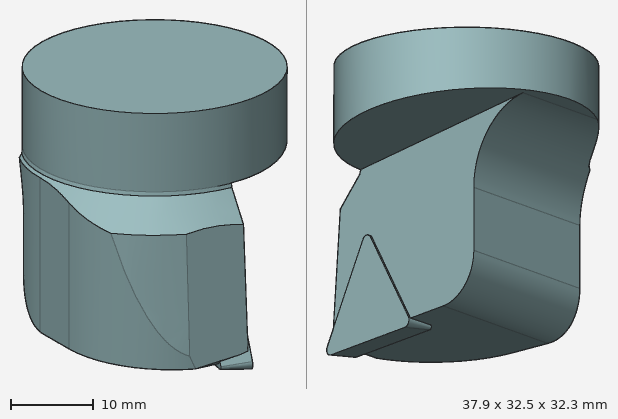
import cadquery as cq
import math

shank_diameter = 32.0
shank_radius = shank_diameter / 2
shank_left_depth = 7.27
underside_tilt = 5.0

neck_top_z = -10.1
cone_top_z = -10.6
cone_bottom_z = -14.28
cone_top_radius = 16.15
outer_lean = 5.0

leg_left_x = -4.77
leg_arc_z = -17.27
leg_bottom_z = -30.9
leg_corner_radius = 5.7
bottom_tilt = 1.0
corner_x = 19.92
corner_relief = 1.2

leg_front_y = -16.48
plan_arc_x = 6.45
plan_arc_radius = 14.4
plan_arc_sweep = 75.0
plan_right_x = 24.62

face_angle = 10.0
face_left_y = 4.35
flat_distance = 19.4

insert_side = 16.48
insert_nose_radius = 0.8
insert_thickness = 3.98
insert_relief = 7.0
insert_proud = 0.3
nose_x = 21.1
nose_z = -31.5

reach = 56.82


def sin(angle):
    return math.sin(math.radians(angle))


def cos(angle):
    return math.cos(math.radians(angle))


def tan(angle):
    return math.tan(math.radians(angle))


def underside_z(x):
    """Height of the tilted shank underside at a given X."""
    return -shank_left_depth - (x + shank_radius) * tan(underside_tilt)


def face_y(x):
    """Y of the cutting face at a given X."""
    return face_left_y - (x - leg_left_x) * tan(face_angle)


def make_shank():
    """Round shank with a tilted underside."""
    outline = [
        (-shank_radius, 0),
        (shank_radius, 0),
        (shank_radius, underside_z(shank_radius)),
        (-shank_radius, underside_z(-shank_radius)),
    ]
    slab = cq.Workplane("XZ").polyline(outline).close().extrude(shank_radius, both=True)
    round_bar = cq.Workplane("XY").circle(shank_radius).extrude(-reach)
    return round_bar.intersect(slab)


def make_leg_side():
    """Leg as seen along Y: concave arc, left wall, round corner and bottom."""
    drop = underside_z(leg_left_x) - leg_arc_z
    arc_radius = drop / (1 / cos(underside_tilt) - tan(underside_tilt))
    arc_center_x = leg_left_x - arc_radius
    arc_start_x = arc_center_x + arc_radius * sin(underside_tilt)
    mid_angle = (90 - underside_tilt) / 2
    arc_middle = (arc_center_x + arc_radius * cos(mid_angle), leg_arc_z + arc_radius * sin(mid_angle))

    corner_center_x = leg_left_x + leg_corner_radius
    corner_center_z = leg_bottom_z + leg_corner_radius
    corner_end_x = corner_center_x - leg_corner_radius * sin(bottom_tilt)
    corner_end_z = corner_center_z - leg_corner_radius * cos(bottom_tilt)
    half_sweep = (90 - bottom_tilt) / 2
    corner_middle = (
        corner_center_x - leg_corner_radius * cos(half_sweep),
        corner_center_z - leg_corner_radius * sin(half_sweep),
    )
    corner_z = corner_end_z - (corner_x - corner_end_x) * tan(bottom_tilt)

    return (
        cq.Workplane("XZ")
        .moveTo(arc_start_x, 0)
        .lineTo(arc_start_x, underside_z(arc_start_x))
        .threePointArc(arc_middle, (leg_left_x, leg_arc_z))
        .lineTo(leg_left_x, corner_center_z)
        .threePointArc(corner_middle, (corner_end_x, corner_end_z))
        .lineTo(corner_x, corner_z)
        .lineTo(corner_x + corner_relief, corner_z + corner_relief)
        .lineTo(reach, corner_z + corner_relief)
        .lineTo(reach, 0)
        .close()
        .extrude(reach, both=True)
    )


def make_leg_plan():
    """Leg as seen along Z: rounded front and yawed cutting face."""
    front_radius = -leg_front_y
    plan_arc_y = leg_front_y + plan_arc_radius
    half_sweep = plan_arc_sweep / 2
    return (
        cq.Workplane("XY")
        .moveTo(-front_radius, face_y(-front_radius))
        .lineTo(-front_radius, 0)
        .threePointArc((-front_radius * cos(45), -front_radius * sin(45)), (0, leg_front_y))
        .lineTo(plan_arc_x, leg_front_y)
        .threePointArc(
            (plan_arc_x + plan_arc_radius * sin(half_sweep), plan_arc_y - plan_arc_radius * cos(half_sweep)),
            (
                plan_arc_x + plan_arc_radius * sin(plan_arc_sweep),
                plan_arc_y - plan_arc_radius * cos(plan_arc_sweep),
            ),
        )
        .lineTo(plan_right_x, face_y(plan_right_x))
        .close()
        .extrude(-reach)
    )


def make_outer_envelope():
    """Round outer limit: neck, flare, 45 degree cone and leaning lower side."""
    cone_bottom_radius = cone_top_radius + cone_top_z - cone_bottom_z
    foot_radius = cone_bottom_radius + (cone_bottom_z + reach) * tan(outer_lean)
    return (
        cq.Workplane("XZ")
        .lineTo(shank_radius, 0)
        .lineTo(shank_radius, neck_top_z)
        .lineTo(cone_top_radius, cone_top_z)
        .lineTo(cone_bottom_radius, cone_bottom_z)
        .lineTo(foot_radius, -reach)
        .lineTo(0, -reach)
        .close()
        .revolve(360, (0, 0), (0, 1))
    )


def make_outer_flat():
    """Half-space inside the leaning flat, which is square to the cutting face."""
    top_distance = flat_distance + cone_bottom_z * tan(outer_lean)
    foot_distance = top_distance + reach * tan(outer_lean)
    return (
        cq.Workplane("XZ")
        .polyline([(-reach, 0), (top_distance, 0), (foot_distance, -reach), (-reach, -reach)])
        .close()
        .extrude(reach, both=True)
        .rotate((0, 0, 0), (0, 0, 1), -face_angle)
    )


def make_insert():
    """Triangular cutting insert with rounded noses and relieved flanks."""
    nose_y = face_y(nose_x) + insert_proud / cos(face_angle)
    edge_direction = (
        cos(face_angle) * cos(bottom_tilt),
        -sin(face_angle) * cos(bottom_tilt),
        -sin(bottom_tilt),
    )
    into_leg = (-sin(face_angle), -cos(face_angle), 0)
    rake_plane = cq.Plane(origin=(nose_x, nose_y, nose_z), xDir=edge_direction, normal=into_leg)
    center_side = insert_side - 2 * insert_nose_radius * math.sqrt(3)
    apex = (-center_side / 2, center_side * sin(60))
    return (
        cq.Workplane(rake_plane)
        .polyline([(0, 0), apex, (-center_side, 0)])
        .close()
        .offset2D(insert_nose_radius)
        .extrude(insert_thickness, taper=insert_relief)
    )


def make_holder(insert):
    """Shank and leg in one piece, with the pocket that seats the insert."""
    leg = make_leg_side().intersect(make_leg_plan())
    leg = leg.intersect(make_outer_envelope()).intersect(make_outer_flat())
    return make_shank().union(leg).cut(insert)


cutting_insert = make_insert()
holder = make_holder(cutting_insert)

result = cq.Compound.makeCompound([holder.val(), cutting_insert.val()])